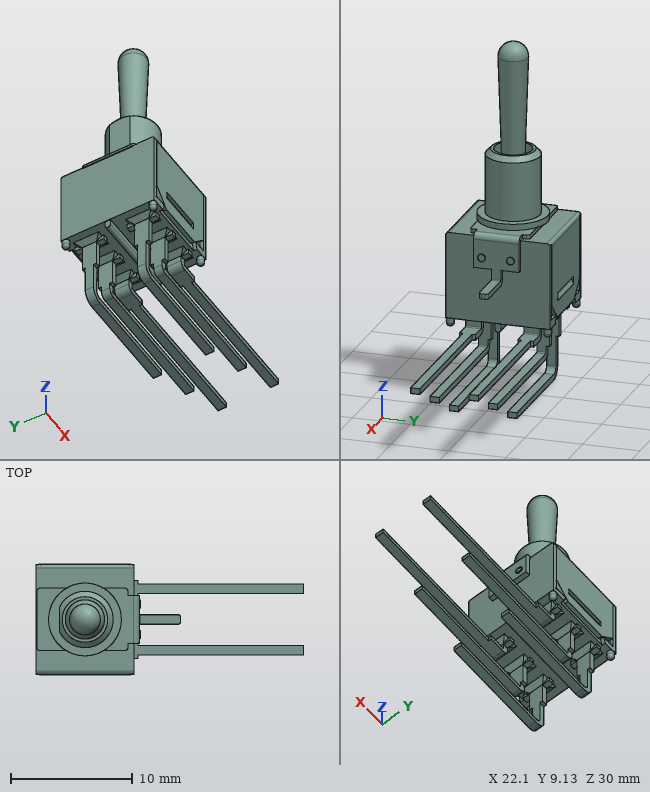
import cadquery as cq
import math


case_length = 8.1
case_width = 9.13
case_height = 7.55
case_edge_radius = 0.3

frame_setback = 0.03
pocket_depth = 0.35
panel_half_length = 3.65
panel_bottom_half_length = 2.2
panel_bottom = 0.45
panel_shoulder = 1.95
pocket_bottom = 0.72
notch_half_length_top = 2.43
notch_half_length_bottom = 2.67
louver_length = 4.15
louver_bottom = 1.9
louver_top = 2.55
louver_depth = 0.3

peg_diameter = 0.65
peg_length = 0.45
rib_length = 8.0
rib_width = 0.5
rib_height = 0.78

row_spacing = 5.07
terminals_per_row = 3
last_terminal = terminals_per_row - 1
pitch = row_spacing / 2
terminal_thickness = 0.5
terminal_width = 0.8
shoulder_width = 1.38
shoulder_depth = 2.97
shoulder_end_x = 4.38
first_arm_z = -1.32
longest_reach = 18.05
base_width = 2.82
base_depth = 0.45
terminal_root = 0.3
short_bend_radius = 0.6
long_bend_radius = 1.05
collar_height = 0.4
collar_spread = 0.55

bracket_thickness = 0.35
bracket_width = 5.15
bracket_start_x = -3.95
bracket_shoulder_x = 3.55
bracket_corner_radius = 0.27
leg_width = 3.95
leg_thickness = 0.45
leg_bend_radius = 0.5
leg_step_z = 4.9
tab_bottom = 3.5
tab_end_x = longest_reach - last_terminal * row_spacing
tab_corner_radius = 0.25
dimple_diameter = 0.65
dimple_height = 0.1
dimple_y = 1.25
dimple_z = 5.82

washer_diameter = 6.0
washer_thickness = 0.55
bushing_diameter = 4.65
bushing_length = 5.58
bushing_chamfer = 0.45
bushing_flat_x = -2.1
bore_diameter = 3.25

lever_tip_diameter = 2.55
lever_neck_diameter = 1.68
overall_height = 30.02

bracket_top = case_height + bracket_thickness
washer_top = bracket_top + washer_thickness
bushing_top = washer_top + bushing_length
lowest_z = first_arm_z - last_terminal * pitch - terminal_thickness / 2
pivot_radius = bore_diameter / 2
pivot_z = case_height + pivot_radius
lever_top = overall_height + lowest_z


def box(x_min, x_max, y_min, y_max, z_min, z_max):
    """Axis-aligned block between the given limits."""
    return cq.Workplane("XY").box(
        x_max - x_min, y_max - y_min, z_max - z_min, centered=False
    ).translate((x_min, y_min, z_min))


def side_prism(points, depth):
    """Extrude an X-Z outline inward from the -Y side of the case."""
    plane = cq.Workplane("XZ", origin=(0, -case_width / 2, 0))
    return plane.polyline(points).close().extrude(-depth)


def side_recess():
    """Material removed from the -Y side so that the panel stands proud."""
    panel = side_prism(
        [
            (-panel_half_length, case_height),
            (-panel_half_length, panel_shoulder),
            (-panel_bottom_half_length, panel_bottom),
            (panel_bottom_half_length, panel_bottom),
            (panel_half_length, panel_shoulder),
            (panel_half_length, case_height),
        ],
        pocket_depth,
    )
    outer_y = -case_width / 2
    frame = box(-case_length / 2, case_length / 2, outer_y, outer_y + frame_setback, 0, case_height)
    window = box(
        -panel_half_length, panel_half_length,
        outer_y, outer_y + pocket_depth,
        pocket_bottom, panel_shoulder,
    )
    notch = side_prism(
        [
            (-notch_half_length_bottom, 0),
            (-notch_half_length_top, pocket_bottom),
            (notch_half_length_top, pocket_bottom),
            (notch_half_length_bottom, 0),
        ],
        pocket_depth,
    )
    return frame.union(window).union(notch).cut(panel)


def louver():
    """Wedge cut in the -Y panel, deepest along its upper edge."""
    outer_y = -case_width / 2
    return (
        cq.Workplane("YZ", origin=(-louver_length / 2, 0, 0))
        .moveTo(outer_y, louver_bottom)
        .lineTo(outer_y, louver_top)
        .lineTo(outer_y + louver_depth, louver_top)
        .close()
        .extrude(louver_length)
    )


def make_case():
    """Case block with rounded long top edges and a panel on both long sides."""
    case = (
        cq.Workplane("XY")
        .box(case_length, case_width, case_height, centered=(True, True, False))
        .edges(">Z and |X")
        .fillet(case_edge_radius)
    )
    side_cut = side_recess().union(louver())
    return case.cut(side_cut).cut(side_cut.mirror("XZ"))


def make_peg():
    """Corner peg with a hemispherical tip, hanging from Z = 0."""
    radius = peg_diameter / 2
    shank = cq.Workplane("XY").circle(radius).extrude(-peg_length)
    tip = cq.Workplane("XY", origin=(0, 0, -peg_length)).sphere(radius)
    return shank.union(tip.cut(shank))


def make_rib():
    """Central rib along X with a half-round lower edge."""
    radius = rib_width / 2
    return (
        cq.Workplane("YZ", origin=(-rib_length / 2, 0, 0))
        .moveTo(-radius, 0)
        .lineTo(-radius, radius - rib_height)
        .threePointArc((0, -rib_height), (radius, radius - rib_height))
        .lineTo(radius, 0)
        .close()
        .extrude(rib_length)
    )


def make_underside():
    """Corner pegs and central rib below the case."""
    peg_x = (case_length - peg_diameter) / 2
    peg_y = (case_width - peg_diameter) / 2
    underside = make_rib()
    for side in (-1, 1):
        for end in (-1, 1):
            underside = underside.union(make_peg().translate((end * peg_x, side * peg_y, 0)))
    return underside


def bent_strip(x_min, z_top, z_bottom, x_end, thickness, outer_radius, width):
    """Strip that drops from z_top, bends toward +X and ends at x_end, centred on Y = 0."""
    inner_radius = outer_radius - thickness
    diagonal = math.sqrt(0.5)
    bend_x = x_min + outer_radius
    bend_z = z_bottom + outer_radius
    return (
        cq.Workplane("XZ", origin=(0, width / 2, 0))
        .moveTo(x_min, z_top)
        .lineTo(x_min, bend_z)
        .threePointArc(
            (bend_x - outer_radius * diagonal, bend_z - outer_radius * diagonal),
            (bend_x, z_bottom),
        )
        .lineTo(x_end, z_bottom)
        .lineTo(x_end, z_bottom + thickness)
        .lineTo(bend_x, z_bottom + thickness)
        .threePointArc(
            (bend_x - inner_radius * diagonal, bend_z - inner_radius * diagonal),
            (x_min + thickness, bend_z),
        )
        .lineTo(x_min + thickness, z_top)
        .close()
        .extrude(width)
    )


def make_terminal(position):
    """Terminal at position 0, 1 or 2, counted from +X; each next one is lower and shorter."""
    x_center = (last_terminal / 2 - position) * pitch
    x_min = x_center - terminal_thickness / 2
    z_bottom = first_arm_z - position * pitch - terminal_thickness / 2
    reach = longest_reach - position * row_spacing
    bend_radius = long_bend_radius if position == last_terminal else short_bend_radius

    strip = bent_strip(
        x_min, terminal_root, z_bottom, reach, terminal_thickness, bend_radius, shoulder_width
    )
    shoulder_limit_x = shoulder_end_x if position == 0 else x_min + terminal_thickness
    narrow = box(x_min, reach, -terminal_width / 2, terminal_width / 2, z_bottom, terminal_root)
    shoulder = box(
        x_min, shoulder_limit_x,
        -shoulder_width / 2, shoulder_width / 2,
        -shoulder_depth, terminal_root,
    )
    base = box(
        x_min, x_min + terminal_thickness,
        -base_width / 2, base_width / 2,
        -base_depth, terminal_root,
    )
    collar = (
        cq.Workplane("XY", origin=(x_center, 0, -collar_height))
        .rect(terminal_thickness, shoulder_width)
        .workplane(offset=collar_height)
        .rect(terminal_thickness + 2 * collar_spread, shoulder_width + 2 * collar_spread)
        .loft(ruled=True)
    )
    return strip.intersect(narrow.union(shoulder)).union(base).union(collar)


def make_bracket():
    """Plate on the case top with a leg down the +X side and a tab at its foot."""
    plate = (
        box(
            bracket_start_x, bracket_shoulder_x,
            -bracket_width / 2, bracket_width / 2,
            case_height, bracket_top,
        )
        .edges("|Z")
        .fillet(bracket_corner_radius)
    )
    leg_outer_x = case_length / 2 + leg_thickness
    leg = (
        box(0, leg_outer_x, -leg_width / 2, leg_width / 2, leg_step_z, bracket_top)
        .edges(">X and >Z")
        .fillet(leg_bend_radius)
        .cut(box(0, case_length / 2, -leg_width / 2, leg_width / 2, leg_step_z, case_height))
    )
    tab = (
        bent_strip(
            case_length / 2, leg_step_z, tab_bottom, tab_end_x,
            leg_thickness, leg_bend_radius, terminal_width,
        )
        .edges(">X and |Z")
        .fillet(tab_corner_radius)
    )
    bracket = plate.union(leg).union(tab)
    for side in (-1, 1):
        dimple = (
            cq.Workplane("YZ", origin=(leg_outer_x, side * dimple_y, dimple_z))
            .circle(dimple_diameter / 2)
            .extrude(dimple_height)
        )
        bracket = bracket.union(dimple)
    return bracket


def make_bushing():
    """Washer and chamfered bushing with a flat on its -X side."""
    washer = (
        cq.Workplane("XY", origin=(0, 0, bracket_top))
        .circle(washer_diameter / 2)
        .extrude(washer_thickness)
    )
    bushing_radius = bushing_diameter / 2
    barrel = (
        cq.Workplane("XY", origin=(0, 0, washer_top))
        .circle(bushing_radius)
        .extrude(bushing_length)
        .faces(">Z")
        .chamfer(bushing_chamfer)
        .cut(
            box(
                -bushing_radius, bushing_flat_x,
                -bushing_radius, bushing_radius,
                washer_top, bushing_top,
            )
        )
    )
    return washer.union(barrel)


def make_housing():
    """Case, bracket, bushing and terminals as one body, bored for the lever."""
    housing = make_case().union(make_underside()).union(make_bracket()).union(make_bushing())
    for position in range(terminals_per_row):
        for side in (-1, 1):
            housing = housing.union(make_terminal(position).translate((0, side * pitch, 0)))
    bore = (
        cq.Workplane("XY", origin=(0, 0, pivot_z))
        .circle(pivot_radius)
        .extrude(bushing_top - pivot_z)
        .union(make_pivot_ball())
    )
    return housing.cut(bore)


def make_pivot_ball():
    """Ball at the foot of the lever; it also shapes the seat of the bore."""
    return cq.Workplane("XY", origin=(0, 0, pivot_z)).sphere(pivot_radius)


def make_lever():
    """Tapered lever with a round tip, standing on its pivot ball."""
    tip_radius = lever_tip_diameter / 2
    tip_center_z = lever_top - tip_radius
    diagonal = math.sqrt(0.5)
    handle = (
        cq.Workplane("XZ")
        .moveTo(0, pivot_z)
        .lineTo(lever_neck_diameter / 2, pivot_z)
        .lineTo(tip_radius, tip_center_z)
        .threePointArc(
            (tip_radius * diagonal, tip_center_z + tip_radius * diagonal),
            (0, lever_top),
        )
        .close()
        .revolve(360, (0, 0, 0), (0, 1, 0))
    )
    return make_pivot_ball().union(handle)


housing = make_housing()
lever = make_lever()
result = cq.Compound.makeCompound([housing.solids().val(), lever.solids().val()])